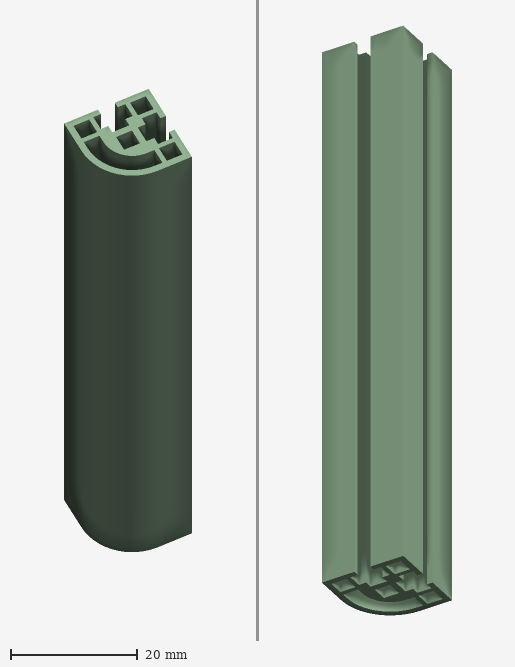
import cadquery as cq
import math


length = 100.0
side = 15.0
corner_radius = 9.0

wall = 1.1
web = 0.8
slot_lip = 1.0
center_cell_size = 2.8

slot_opening = 3.0
slot_cavity_width = 5.65
slot_cavity_depth = 3.6
slot_total_depth = 5.0

middle = side / 2
cell_size = middle - slot_cavity_width / 2 - web - wall
arc_center = side - corner_radius
channel_outer_radius = corner_radius - wall
channel_start = wall + cell_size + web
channel_inner = side - wall - cell_size
core_radius = channel_inner - arc_center


def at(u, v):
    """Place a profile point on the XY plane, with the profile centred on the Z axis."""
    return (u - middle, middle - v)


def arc_middle(radius):
    """Midpoint of an arc about the corner centre, on the profile's diagonal."""
    offset = radius * math.cos(math.pi / 4)
    return at(arc_center + offset, arc_center + offset)


def prism(u_start, u_end, v_start, v_end):
    """Full-length rectangular prism between the given profile distances."""
    return (
        cq.Workplane("XY")
        .center(*at((u_start + u_end) / 2, (v_start + v_end) / 2))
        .rect(u_end - u_start, v_end - v_start)
        .extrude(length)
    )


def quarter_round_bar():
    """Solid square bar with one large rounded corner."""
    return (
        cq.Workplane("XY")
        .moveTo(*at(0, 0))
        .lineTo(*at(side, 0))
        .lineTo(*at(side, arc_center))
        .threePointArc(arc_middle(corner_radius), at(arc_center, side))
        .lineTo(*at(0, side))
        .close()
        .extrude(length)
    )


def top_slot():
    """T-slot open to the +Y side, with a narrow groove in its floor."""
    half_opening = slot_opening / 2
    half_cavity = slot_cavity_width / 2
    opening = prism(middle - half_opening, middle + half_opening, 0, slot_total_depth)
    cavity = prism(middle - half_cavity, middle + half_cavity, slot_lip, slot_cavity_depth)
    return opening.union(cavity)


def left_slot():
    """The same T-slot open to the -X side."""
    return top_slot().rotate((0, 0, 0), (0, 0, 1), 90)


def square_cell(u_center, v_center, size):
    """Square through passage centred on a profile point."""
    half = size / 2
    return prism(u_center - half, u_center + half, v_center - half, v_center + half)


def curved_channel():
    """Curved passage between the core and the rounded outer wall."""
    outer = side - wall
    return (
        cq.Workplane("XY")
        .moveTo(*at(channel_inner, channel_start))
        .lineTo(*at(outer, channel_start))
        .lineTo(*at(outer, arc_center))
        .threePointArc(arc_middle(channel_outer_radius), at(arc_center, outer))
        .lineTo(*at(channel_start, outer))
        .lineTo(*at(channel_start, channel_inner))
        .lineTo(*at(arc_center, channel_inner))
        .threePointArc(arc_middle(core_radius), at(channel_inner, arc_center))
        .close()
        .extrude(length)
    )


result = quarter_round_bar().cut(top_slot()).cut(left_slot()).cut(curved_channel())

near_cell = wall + cell_size / 2
far_cell = side - near_cell
for u_cell, v_cell in [(near_cell, near_cell), (far_cell, near_cell), (near_cell, far_cell)]:
    result = result.cut(square_cell(u_cell, v_cell, cell_size))

result = result.cut(square_cell(middle, middle, center_cell_size))